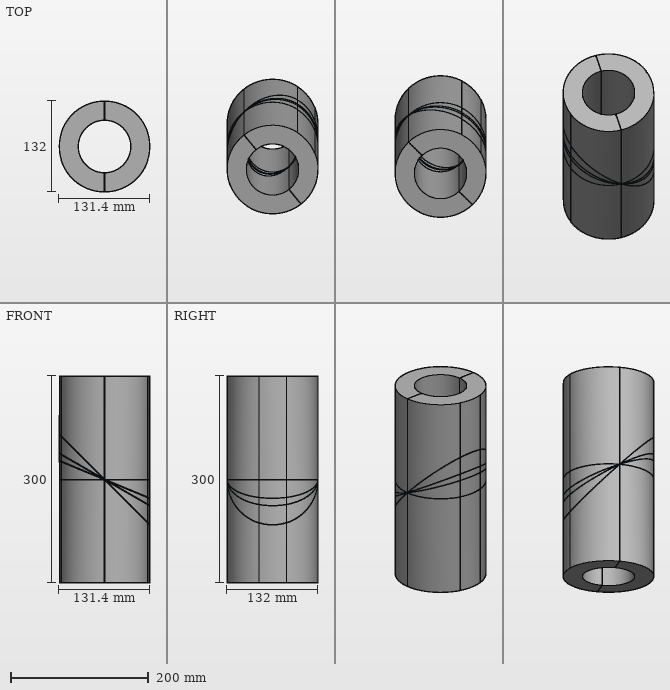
import cadquery as cq
import math

LENGTH = 300.0
OUTER_RADIUS = 66.0
BORE_DIAMETER = 76.0

RECESS_DEPTH = 0.3
RECESS_WIDTH = 40.0

CUT_ANGLES = [0.0, 22.5, 30.0, 45.0]

GAP = 0.5

CLEARANCE = 3.0
REACH = OUTER_RADIUS + CLEARANCE


def cylinder(radius):
    """Full-length cylinder on the tube axis."""
    return cq.Workplane("XY").circle(radius).extrude(LENGTH / 2, both=True)


def half_shell():
    """Half of the tube on the +X side, with the recess along its outside."""
    tube = cylinder(OUTER_RADIUS).cut(cylinder(BORE_DIAMETER / 2))
    half_space = (
        cq.Workplane("XY")
        .box(REACH, 2 * REACH, LENGTH, centered=(False, True, True))
        .translate((GAP / 2, 0, 0))
    )
    recess = (
        cq.Workplane("XY")
        .box(REACH, RECESS_WIDTH, LENGTH, centered=(False, True, True))
        .cut(cylinder(OUTER_RADIUS - RECESS_DEPTH))
    )
    return tube.intersect(half_space).cut(recess)


def gap_slab(angle, level):
    """Thin slab along a cut plane, its middle raised off the plane by level."""
    return (
        cq.Workplane("XY")
        .box(4 * REACH, 2 * REACH, GAP)
        .translate((0, 0, level))
        .rotate((0, 0, 0), (0, 1, 0), angle)
    )


def sector(outline):
    """Prism of an XZ outline, running past the tube on both Y sides."""
    return cq.Workplane("XZ").polyline(outline).close().extrude(REACH, both=True)


def cut_point(angle):
    """XZ point outside the shell on the cut plane of this slope."""
    return (REACH, -REACH * math.tan(math.radians(angle)))


def end_piece(shell, angle, end_z):
    """Long piece between a cut plane and one end of the tube."""
    outline = [(0, 0), cut_point(angle), (REACH, end_z), (0, end_z)]
    return shell.intersect(sector(outline))


def wedge(shell, upper_angle, lower_angle):
    """Wedge between two neighbouring cut planes."""
    outline = [(0, 0), cut_point(upper_angle), cut_point(lower_angle)]
    return shell.intersect(sector(outline))


def half_pieces(level_gap_offset):
    """The five pieces of a +X half, from the top down.

    The gap at the level cut is moved off its plane by level_gap_offset; the sloping gaps are centred.
    """
    shell = half_shell()
    for angle in CUT_ANGLES:
        offset = level_gap_offset if angle == CUT_ANGLES[0] else 0
        shell = shell.cut(gap_slab(angle, offset))
    square_end = end_piece(shell, CUT_ANGLES[0], LENGTH / 2)
    mitred_end = end_piece(shell, CUT_ANGLES[-1], -LENGTH / 2)
    wedges = []
    for upper_angle, lower_angle in zip(CUT_ANGLES, CUT_ANGLES[1:]):
        wedges.append(wedge(shell, upper_angle, lower_angle))
    return [square_end, *wedges, mitred_end]


def turned_over(piece):
    """Copy of a +X piece turned half a turn about the Y axis, onto the -X side."""
    return piece.rotate((0, 0, 0), (0, 1, 0), 180)


right_pieces = half_pieces(-GAP / 2)
left_pieces = [turned_over(piece) for piece in half_pieces(GAP / 2)]

result = cq.Compound.makeCompound([piece.solids().val() for piece in right_pieces + left_pieces])